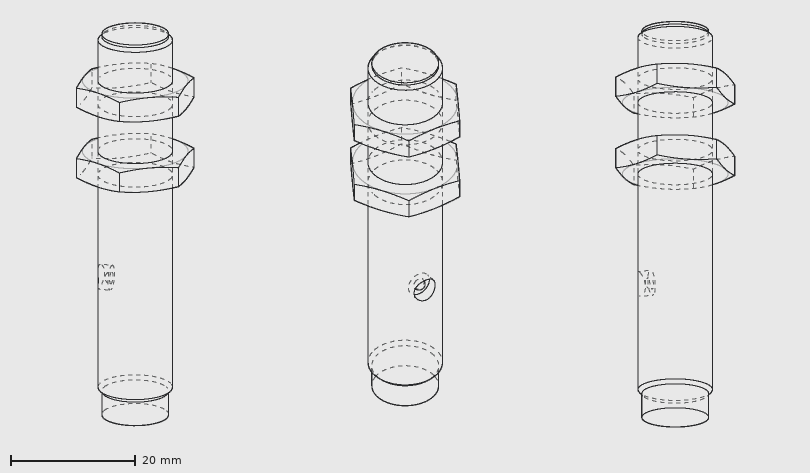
import cadquery as cq
import math

total_length = 65.0
body_diameter = 12.0
tail_diameter = 10.8
tail_length = 4.0
tail_chamfer_height = 0.65
face_diameter = tail_diameter
face_height = 0.45
face_chamfer_height = 0.6

window_diameter = 4.0
window_depth = 2.0
window_height = 23.0
lamp_diameter = 2.0

nut_across_flats = 17.0
nut_thickness = 4.0
nut_chamfer_height = 0.4
first_nut_top = total_length - 8.0
nut_pitch = 12.0
nut_count = 2

body_radius = body_diameter / 2
nut_corner_radius = nut_across_flats / math.sqrt(3)


def make_turned_body():
    """Revolve the stepped, chamfered cylinder about Z."""
    tail_radius = tail_diameter / 2
    face_radius = face_diameter / 2
    face_bottom = total_length - face_height
    return (
        cq.Workplane("XZ")
        .moveTo(0, 0)
        .lineTo(tail_radius, 0)
        .lineTo(tail_radius, tail_length)
        .lineTo(body_radius, tail_length + tail_chamfer_height)
        .lineTo(body_radius, face_bottom - face_chamfer_height)
        .lineTo(face_radius, face_bottom)
        .lineTo(face_radius, total_length)
        .lineTo(0, total_length)
        .close()
        .revolve(360, (0, 0, 0), (0, 1, 0))
    )


def make_sensor_body():
    """Turned body with the window sunk in and the half-ball lamp on its floor."""
    floor_x = window_depth - body_radius
    window = (
        cq.Workplane("YZ", origin=(floor_x, 0, window_height))
        .circle(window_diameter / 2)
        .extrude(-window_depth)
    )
    lamp = cq.Workplane("XY").sphere(lamp_diameter / 2).translate((floor_x, 0, window_height))
    return make_turned_body().cut(window).union(lamp)


def make_nut(bottom):
    """Hexagon nut whose corners are chamfered by a cone on both faces."""
    flat_radius = nut_across_flats / 2
    hexagon = (
        cq.Workplane("XY")
        .polygon(6, 2 * nut_corner_radius)
        .extrude(nut_thickness)
        .rotate((0, 0, 0), (0, 0, 1), 30)
    )
    chamfer_envelope = (
        cq.Workplane("XZ")
        .moveTo(0, 0)
        .lineTo(flat_radius, 0)
        .lineTo(nut_corner_radius, nut_chamfer_height)
        .lineTo(nut_corner_radius, nut_thickness - nut_chamfer_height)
        .lineTo(flat_radius, nut_thickness)
        .lineTo(0, nut_thickness)
        .close()
        .revolve(360, (0, 0, 0), (0, 1, 0))
    )
    bore = cq.Workplane("XY").circle(body_radius).extrude(nut_thickness)
    return hexagon.intersect(chamfer_envelope).cut(bore).translate((0, 0, bottom))


sensor_body = make_sensor_body()

nuts = []
for index in range(nut_count):
    nut_bottom = first_nut_top - nut_thickness - index * nut_pitch
    nuts.append(make_nut(nut_bottom))

result = cq.Compound.makeCompound([sensor_body.val(), *[nut.val() for nut in nuts]])